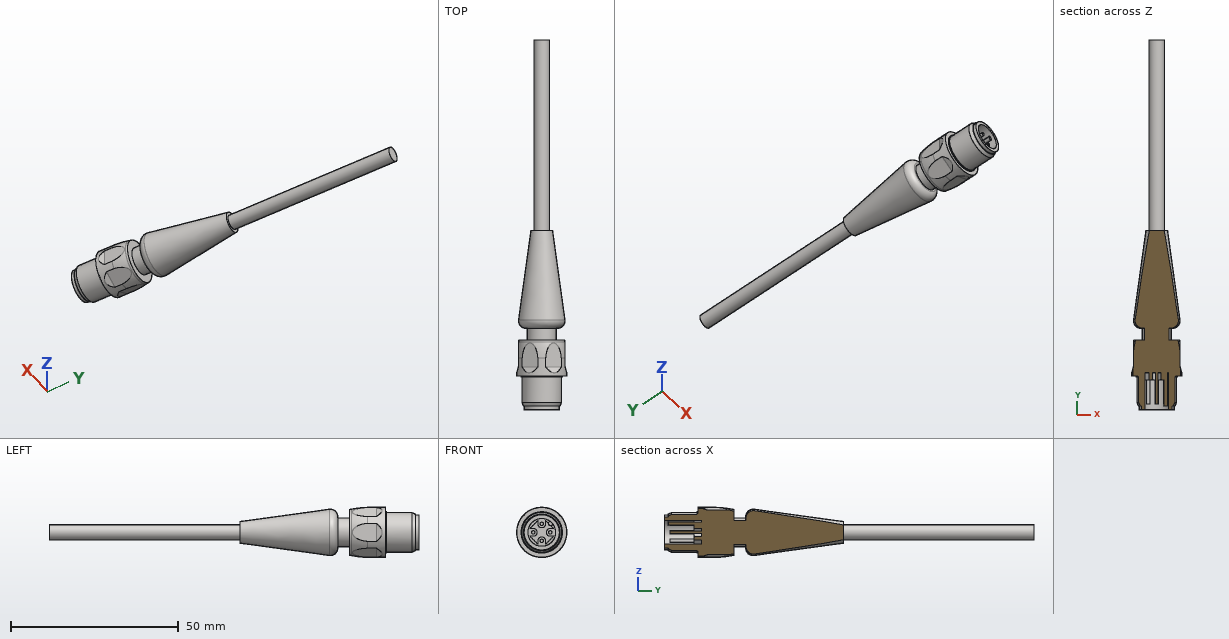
import cadquery as cq
import math

total_length = 110.4
thread_relief_end = 1.1
barrel_start = 2.2
collar_start = 9.7
nut_front = 10.0
nut_taper_start = 15.5
nut_chamfer_start = 20.2
nut_back = 20.9
boot_front = 24.3
boot_widest = 26.8
boot_back = 53.5

tip_diameter = 10.5
lip_diameter = 10.9
barrel_diameter = 11.9
collar_diameter = 12.4
nut_diameter = 15.0
nut_taper_diameter = 13.9
nut_taper_middle_diameter = 14.7
nut_back_diameter = 13.7
neck_diameter = 8.7
boot_front_diameter = 9.9
boot_diameter = 13.9
boot_back_diameter = 6.5
cable_diameter = 4.6

flat_count = 6
across_flats = 14.0
flat_front = 12.8
runout_front = 11.0

socket_diameter = 8.3
socket_depth = 11.0
insert_face = 8.8
insert_flat_distance = 3.3
key_diameter = 1.3
key_circle_radius = 3.8
key_start = 1.1
key_notch_corner = 2.1
pin_count = 4
pin_diameter = 1.0
pin_circle_radius = 2.5
pin_clearance_diameter = 2.3
pin_start = 1.7


def rod(diameter, start, end, x=0.0, z=0.0):
    """Cylinder along +Y between two stations."""
    base = cq.Vector(x, start, z)
    return cq.Workplane(cq.Solid.makeCylinder(diameter / 2, end - start, base, cq.Vector(0, 1, 0)))


def make_body():
    """Turned outline of plug, nut, neck, boot and cable."""
    boot_radius = boot_diameter / 2
    boot_front_radius = boot_front_diameter / 2
    bulge = math.sqrt(0.5)
    bulge_point = (
        boot_front_radius + (boot_radius - boot_front_radius) * bulge,
        boot_widest - (boot_widest - boot_front) * bulge,
    )
    nut_taper_middle = (nut_taper_middle_diameter / 2, (nut_taper_start + nut_chamfer_start) / 2)
    return (
        cq.Workplane("XY")
        .lineTo(tip_diameter / 2, 0)
        .lineTo(tip_diameter / 2, thread_relief_end)
        .lineTo(lip_diameter / 2, thread_relief_end)
        .lineTo(barrel_diameter / 2, barrel_start)
        .lineTo(barrel_diameter / 2, collar_start)
        .lineTo(collar_diameter / 2, collar_start)
        .lineTo(collar_diameter / 2, nut_front)
        .lineTo(nut_diameter / 2, nut_front)
        .lineTo(nut_diameter / 2, nut_taper_start)
        .threePointArc(nut_taper_middle, (nut_taper_diameter / 2, nut_chamfer_start))
        .lineTo(nut_back_diameter / 2, nut_back)
        .lineTo(neck_diameter / 2, nut_back)
        .lineTo(neck_diameter / 2, boot_front)
        .lineTo(boot_front_radius, boot_front)
        .threePointArc(bulge_point, (boot_radius, boot_widest))
        .lineTo(boot_back_diameter / 2, boot_back)
        .lineTo(cable_diameter / 2, boot_back)
        .lineTo(cable_diameter / 2, total_length)
        .lineTo(0, total_length)
        .close()
        .revolve(360, (0, 0, 0), (0, 1, 0))
    )


def cut_grip_flats(body):
    """Flats around the nut, each with a sloped runout at its front end."""
    outer = nut_diameter / 2
    cutter = (
        cq.Workplane("XY")
        .moveTo(outer, runout_front)
        .lineTo(across_flats / 2, flat_front)
        .lineTo(across_flats / 2, nut_back)
        .lineTo(outer, nut_back)
        .close()
        .extrude(outer, both=True)
    )
    for index in range(flat_count):
        body = body.cut(cutter.rotate((0, 0, 0), (0, 1, 0), index * 360 / flat_count))
    return body


def cut_socket(body):
    """Round socket at the mating end."""
    return body.cut(rod(socket_diameter, 0, socket_depth))


def block(width, height, x, z):
    """Box between the insert face and the socket floor, centred at x, z."""
    length = socket_depth - insert_face
    return cq.Workplane("XY").box(width, length, height).translate((x, insert_face + length / 2, z))


def add_insert(body):
    """Contact carrier: a diagonal square with a U slot per pin and a notch for the key."""
    side = 2 * insert_flat_distance
    insert = block(side, side, 0, 0).rotate((0, 0, 0), (0, 1, 0), 45)
    slot_length = socket_diameter / 2
    slot = rod(pin_clearance_diameter, insert_face, socket_depth, pin_circle_radius)
    slot = slot.union(block(slot_length, pin_clearance_diameter, pin_circle_radius + slot_length / 2, 0))
    for index in range(pin_count):
        insert = insert.cut(slot.rotate((0, 0, 0), (0, 1, 0), index * 360 / pin_count))
    notch_side = socket_diameter / 2
    notch_centre = key_notch_corner + notch_side / 2
    insert = insert.cut(block(notch_side, notch_side, notch_centre, notch_centre))
    return body.union(insert)


def add_key(body):
    """Coding key along the socket wall, at 45 degrees between +X and +Z."""
    offset = key_circle_radius * math.sqrt(0.5)
    return body.union(rod(key_diameter, key_start, socket_depth, offset, offset))


def add_pins(body):
    """Contact pins standing on the socket floor."""
    for index in range(pin_count):
        angle = 2 * math.pi * index / pin_count
        x = pin_circle_radius * math.cos(angle)
        z = pin_circle_radius * math.sin(angle)
        body = body.union(rod(pin_diameter, pin_start, socket_depth, x, z))
    return body


result = add_pins(add_key(add_insert(cut_socket(cut_grip_flats(make_body())))))